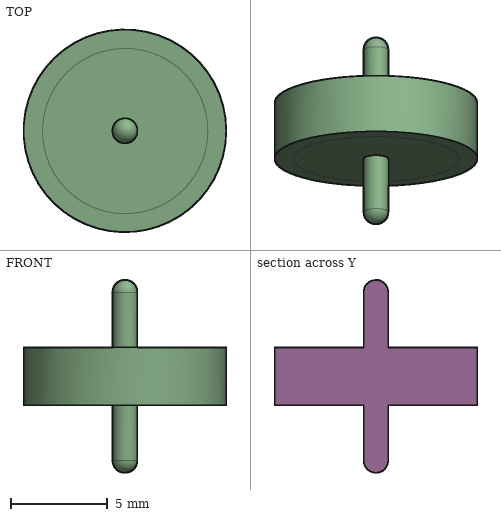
import cadquery as cq

ring_diameter = 10.5
seal_diameter = 8.56
body_height = 3.0
pin_diameter = 1.3
pin_length = 10.0

pin_radius = pin_diameter / 2


def centred_cylinder(diameter, height):
    """Cylinder along Z with its middle at the origin."""
    base_plane = cq.Workplane("XY").workplane(offset=-height / 2)
    return base_plane.circle(diameter / 2).extrude(height)


def outer_ring():
    """Metal ring around the seal."""
    bore = centred_cylinder(seal_diameter, body_height)
    return centred_cylinder(ring_diameter, body_height).cut(bore)


def pin():
    """Straight pin along Z with a hemispherical tip at each end."""
    half_length = pin_length / 2
    shoulder = half_length - pin_radius
    profile = (
        cq.Workplane("XZ")
        .moveTo(0, -half_length)
        .radiusArc((pin_radius, -shoulder), -pin_radius)
        .lineTo(pin_radius, shoulder)
        .radiusArc((0, half_length), -pin_radius)
        .close()
    )
    return profile.revolve(360, (0, 0, 0), (0, 1, 0))


seal = centred_cylinder(seal_diameter, body_height)
body = outer_ring().union(seal, clean=False)
result = body.union(pin(), clean=False)